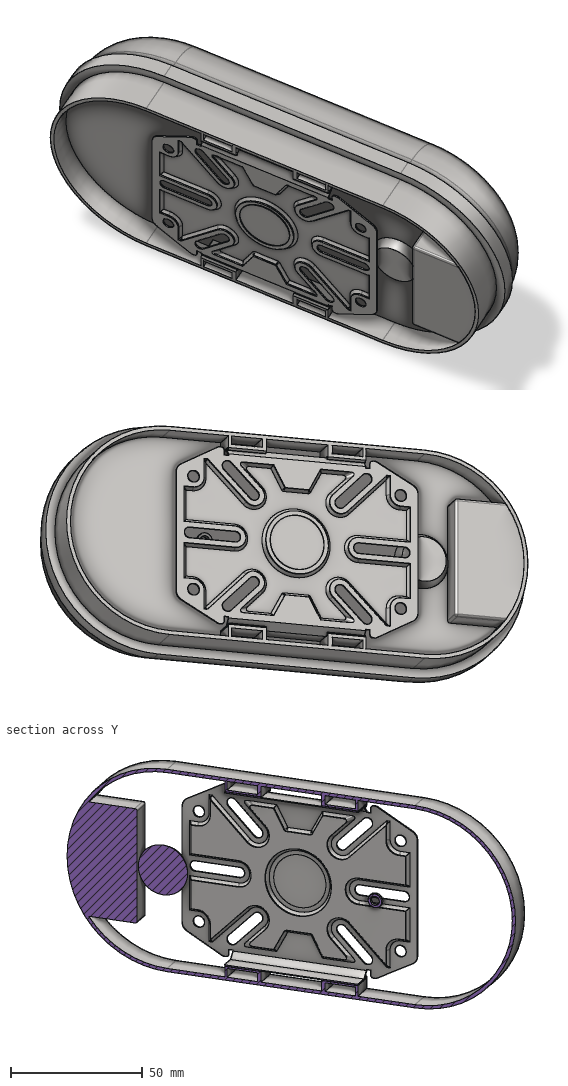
import cadquery as cq
import math

LENGTH = 192.0
HEIGHT = 90.0
DEPTH = 45.5
CAP_SPACING = LENGTH - HEIGHT

FRONT_Y = -DEPTH / 2
BACK_Y = DEPTH / 2

FLANGE_RADIUS = HEIGHT / 2
WALL_RADIUS = FLANGE_RADIUS - 3.6
WALL_THICKNESS = 1.5
CAVITY_RADIUS = WALL_RADIUS - WALL_THICKNESS
FLANGE_FRONT_Y = -8.3
FLANGE_BACK_Y = -2.1
FLOOR_Y = -12.9

COVER_RADIUS = FLANGE_RADIUS - 2.0
SKIRT_TOP_Y = 1.2
CROWN_EDGE_RADIUS = 26.9
CROWN_EDGE_Y = BACK_Y - 1.7

PLATE_FRONT_Y = FRONT_Y
SHEET = 0.5
PLATE_HALF_LENGTH = 48.4
PLATE_SIDE_HALF_HEIGHT = 26.0
EAR_TIP_X = 31.5
EAR_INNER_X = 29.2
EAR_TIP_Z = 35.1
NOTCH_Z = 32.0
EAR_ROUNDING = 1.2
SIDE_CORNER_ROUNDING = 3.8
LEG_HALF_LENGTH = 27.5
LEG_OUTER_Z = 35.5
BEND_SIZE = 2.9

RECESS_DEPTH = 1.5
RECESS_HALF_LENGTH = 45.3
RECESS_HALF_HEIGHT = 30.0
EMBOSS_TAPER = 37.0
TIP_ROUNDING = 1.3
SLOT_RADIUS = 2.1
PAD_RADIUS = 2 * SLOT_RADIUS
SIDE_SLOT_INNER_X = 24.8
SIDE_SLOT_OUTER_X = 43.0
DIAGONAL_SLOT_INNER = 17.3
DIAGONAL_SLOT_OUTER = 27.8
SCREW_HOLE_X = 41.5
SCREW_HOLE_Z = 22.5
SCREW_HOLE_RADIUS = 2.3
EDGE_PAD_TIP_HALF = 4.8
EDGE_PAD_BASE_HALF = 9.5
EDGE_PAD_TIP_Z = 21.3
BEYOND_RECESS = 11.5
KNOCKOUT_PAD_RADIUS = 12.5
KNOCKOUT_RADIUS = 10.8
KNOCKOUT_STEP = 0.4

SIDE_SLOT = ((SIDE_SLOT_INNER_X, 0), (SIDE_SLOT_OUTER_X, 0))
DIAGONAL_SLOT = (
    (DIAGONAL_SLOT_INNER, DIAGONAL_SLOT_INNER),
    (DIAGONAL_SLOT_OUTER, DIAGONAL_SLOT_OUTER),
)

CLIP_INNER_X = 12.3
CLIP_OUTER_X = LEG_HALF_LENGTH
CLIP_FRONT_Y = FRONT_Y
CLIP_HOOK_BACK_Y = -21.5
CLIP_LIP_Z = 34.4
CLIP_CHAMFER = 0.8
CLIP_WINDOW_INNER_X = 14.0
CLIP_WINDOW_OUTER_X = 26.3
CLIP_WINDOW_Z = 36.5

BLOCK_LEFT_X = 63.4
BLOCK_HALF_HEIGHT = 23.5
BLOCK_FRONT_Y = FRONT_Y + 0.2
BLOCK_ROUNDING = 1.0
BOSS_X = 52.8
BOSS_BASE_RADIUS = 10.8
BOSS_TOP_RADIUS = 8.8
BOSS_FRONT_Y = -16.5
POST_X = -34.4
POST_RADIUS = 2.9
POST_HOLE_RADIUS = 1.7
POST_HEIGHT = 2.0


def facing_back(y):
    """Workplane at depth y whose axes are X and -Z and whose normal is +Y."""
    return cq.Workplane("XZ", origin=(0, y, 0)).transformed(rotate=(180, 0, 0))


def oblong(radius, start_y, end_y):
    """Prism with two straight sides and two round ends."""
    return facing_back(start_y).slot2D(CAP_SPACING + 2 * radius, 2 * radius).extrude(end_y - start_y)


def box_between(x0, x1, y0, y1, z0, z1):
    corner = cq.Vector(x0, y0, z0)
    return cq.Workplane(cq.Solid.makeBox(x1 - x0, y1 - y0, z1 - z0, corner))


def four_quadrants(shape):
    """The four mirror copies of a workplane shape about the XY and YZ planes."""
    pair = [shape, shape.mirror("YZ")]
    return pair + [item.mirror("XY") for item in pair]


def clip():
    """Hooked clip on the upper right wall, with a window along the wall."""
    wall_z = CAVITY_RADIUS + WALL_THICKNESS / 2
    profile = [
        (CLIP_FRONT_Y, wall_z),
        (CLIP_FRONT_Y, CLIP_LIP_Z + CLIP_CHAMFER),
        (CLIP_FRONT_Y + CLIP_CHAMFER, CLIP_LIP_Z),
        (CLIP_HOOK_BACK_Y, CLIP_LIP_Z),
        (CLIP_HOOK_BACK_Y, LEG_OUTER_Z),
        (FLOOR_Y, LEG_OUTER_Z),
        (FLOOR_Y, wall_z),
    ]
    body = cq.Workplane("YZ", origin=(CLIP_INNER_X, 0, 0)).polyline(profile).close()
    body = body.extrude(CLIP_OUTER_X - CLIP_INNER_X)
    window = box_between(
        CLIP_WINDOW_INNER_X, CLIP_WINDOW_OUTER_X, CLIP_FRONT_Y, FLOOR_Y, CLIP_WINDOW_Z, CAVITY_RADIUS
    )
    return body.cut(window)


def end_block():
    """Raised block on the floor that runs into the right end wall."""
    block = box_between(
        BLOCK_LEFT_X, LENGTH / 2, BLOCK_FRONT_Y, FLOOR_Y, -BLOCK_HALF_HEIGHT, BLOCK_HALF_HEIGHT
    )
    block = block.edges("(<Y and (not >X)) or (<X and |Y)").fillet(BLOCK_ROUNDING)
    return block.intersect(oblong(WALL_RADIUS - WALL_THICKNESS / 2, FRONT_Y, FLOOR_Y))


def round_boss():
    height = FLOOR_Y - BOSS_FRONT_Y
    base = cq.Vector(BOSS_X, FLOOR_Y, 0)
    return cq.Workplane(
        cq.Solid.makeCone(BOSS_BASE_RADIUS, BOSS_TOP_RADIUS, height, base, cq.Vector(0, -1, 0))
    )


def screw_post():
    ring = cq.Workplane("XZ", origin=(0, FLOOR_Y, 0)).center(POST_X, 0)
    return ring.circle(POST_RADIUS).circle(POST_HOLE_RADIUS).extrude(POST_HEIGHT)


def make_housing():
    body = oblong(WALL_RADIUS, FRONT_Y, FLANGE_BACK_Y)
    body = body.union(oblong(FLANGE_RADIUS, FLANGE_FRONT_Y, FLANGE_BACK_Y))
    body = body.cut(oblong(CAVITY_RADIUS, FRONT_Y, FLOOR_Y))
    for wall_clip in four_quadrants(clip()):
        body = body.union(wall_clip)
    return body.union(end_block()).union(round_boss()).union(screw_post())


def make_cover():
    """Dome with one section swept along the straight sides and turned about each end."""
    half_spacing = CAP_SPACING / 2
    crown_rise = BACK_Y - CROWN_EDGE_Y
    crown_sphere = (CROWN_EDGE_RADIUS**2 + crown_rise**2) / (2 * crown_rise)
    crown_mid_radius = CROWN_EDGE_RADIUS / 2
    crown_mid_y = BACK_Y - crown_sphere + math.sqrt(crown_sphere**2 - crown_mid_radius**2)

    def half_section(plane):
        return (
            plane.moveTo(0, FLANGE_BACK_Y)
            .lineTo(COVER_RADIUS, FLANGE_BACK_Y)
            .lineTo(COVER_RADIUS, SKIRT_TOP_Y)
            .tangentArcPoint((CROWN_EDGE_RADIUS, CROWN_EDGE_Y), relative=False)
            .threePointArc((crown_mid_radius, crown_mid_y), (0, BACK_Y))
            .close()
        )

    end = half_section(cq.Workplane("XY", origin=(half_spacing, 0, 0)))
    end = end.revolve(360, (0, 0, 0), (0, 1, 0))
    section_plane = cq.Plane(origin=(half_spacing, 0, 0), xDir=(0, 0, 1), normal=(-1, 0, 0))
    upper = half_section(cq.Workplane(section_plane)).extrude(CAP_SPACING)
    return upper.union(upper.mirror("XY")).union(end).union(end.mirror("YZ"))


def plate_blank():
    """Flat sheet with four corner ears, notched beside the legs."""
    bend_z = LEG_OUTER_Z - BEND_SIZE
    right_upper = [
        (0, bend_z),
        (LEG_HALF_LENGTH, bend_z),
        (LEG_HALF_LENGTH, NOTCH_Z),
        (EAR_INNER_X, NOTCH_Z),
        (EAR_INNER_X, EAR_TIP_Z),
        (EAR_TIP_X, EAR_TIP_Z),
        (PLATE_HALF_LENGTH, PLATE_SIDE_HALF_HEIGHT),
        (PLATE_HALF_LENGTH, 0),
        (0, 0),
    ]
    quarter = cq.Workplane("XZ", origin=(0, PLATE_FRONT_Y + SHEET, 0)).polyline(right_upper).close()
    quarter = quarter.extrude(SHEET)
    rounded_corners = [
        (EAR_INNER_X, EAR_TIP_Z, EAR_ROUNDING),
        (EAR_TIP_X, EAR_TIP_Z, EAR_ROUNDING),
        (PLATE_HALF_LENGTH, PLATE_SIDE_HALF_HEIGHT, SIDE_CORNER_ROUNDING),
    ]
    for x, z, rounding in rounded_corners:
        corner = cq.selectors.NearestToPointSelector((x, PLATE_FRONT_Y + SHEET / 2, z))
        quarter = quarter.edges("|Y").edges(corner).fillet(rounding)
    blank = quarter
    for copy in four_quadrants(quarter)[1:]:
        blank = blank.union(copy)
    return blank.clean()


def plate_leg():
    """Upper leg, bent back from the sheet and standing on the floor."""
    bend_z = LEG_OUTER_Z - BEND_SIZE
    bend_back_y = PLATE_FRONT_Y + BEND_SIZE
    inner_shift = SHEET * math.tan(math.pi / 8)
    profile = [
        (PLATE_FRONT_Y, bend_z),
        (bend_back_y, LEG_OUTER_Z),
        (FLOOR_Y, LEG_OUTER_Z),
        (FLOOR_Y, LEG_OUTER_Z - SHEET),
        (bend_back_y + inner_shift, LEG_OUTER_Z - SHEET),
        (PLATE_FRONT_Y + SHEET, bend_z - inner_shift),
        (PLATE_FRONT_Y, bend_z - inner_shift),
    ]
    leg = cq.Workplane("YZ", origin=(-LEG_HALF_LENGTH, 0, 0)).polyline(profile).close()
    return leg.extrude(2 * LEG_HALF_LENGTH)


def slot_prism(start, end, radius, depth, taper=0.0):
    """Round-ended prism from the plate front, between two (x, z) centres."""
    dx = end[0] - start[0]
    dz = end[1] - start[1]
    middle = ((start[0] + end[0]) / 2, -(start[1] + end[1]) / 2)
    angle = -math.degrees(math.atan2(dz, dx))
    outline = facing_back(PLATE_FRONT_Y).center(*middle)
    return outline.slot2D(math.hypot(dx, dz) + 2 * radius, 2 * radius, angle).extrude(depth, taper=taper)


def emboss_pads():
    """Raised pads that widen towards the recess floor."""

    def widen(outline):
        return outline.extrude(RECESS_DEPTH, taper=-EMBOSS_TAPER)

    side_end = (RECESS_HALF_LENGTH + BEYOND_RECESS, 0)
    diagonal_end = (DIAGONAL_SLOT_OUTER + BEYOND_RECESS, DIAGONAL_SLOT_OUTER + BEYOND_RECESS)
    side = slot_prism(SIDE_SLOT[0], side_end, PAD_RADIUS, RECESS_DEPTH, -EMBOSS_TAPER)
    diagonal = slot_prism(DIAGONAL_SLOT[0], diagonal_end, PAD_RADIUS, RECESS_DEPTH, -EMBOSS_TAPER)

    corner_size = PAD_RADIUS + BEYOND_RECESS
    corner_x = SCREW_HOLE_X - PAD_RADIUS + corner_size / 2
    corner_z = SCREW_HOLE_Z - PAD_RADIUS + corner_size / 2
    corner_sketch = cq.Sketch().rect(corner_size, corner_size).vertices().fillet(PAD_RADIUS)
    corner = widen(facing_back(PLATE_FRONT_Y).center(corner_x, -corner_z).placeSketch(corner_sketch))

    edge_slope = (EDGE_PAD_BASE_HALF - EDGE_PAD_TIP_HALF) / (RECESS_HALF_HEIGHT - EDGE_PAD_TIP_Z)
    edge_outer_half = EDGE_PAD_BASE_HALF + edge_slope * BEYOND_RECESS
    edge_outer_z = RECESS_HALF_HEIGHT + BEYOND_RECESS
    edge = widen(
        facing_back(PLATE_FRONT_Y)
        .polyline([
            (-EDGE_PAD_TIP_HALF, -EDGE_PAD_TIP_Z),
            (EDGE_PAD_TIP_HALF, -EDGE_PAD_TIP_Z),
            (edge_outer_half, -edge_outer_z),
            (-edge_outer_half, -edge_outer_z),
        ])
        .close()
    )
    centre = widen(facing_back(PLATE_FRONT_Y).circle(KNOCKOUT_PAD_RADIUS))

    pads = [centre, side, side.mirror("YZ"), edge, edge.mirror("XY")]
    return pads + four_quadrants(diagonal) + four_quadrants(corner)


def emboss_recess():
    """Shallow recess with sloped walls, as a solid to remove."""
    recess = facing_back(PLATE_FRONT_Y).rect(2 * RECESS_HALF_LENGTH, 2 * RECESS_HALF_HEIGHT)
    recess = recess.extrude(RECESS_DEPTH, taper=EMBOSS_TAPER)
    for pad in emboss_pads():
        recess = recess.cut(pad)
    tip_x = RECESS_HALF_HEIGHT - math.sqrt(2) * PAD_RADIUS
    for x in (-tip_x, tip_x):
        for z in (-RECESS_HALF_HEIGHT, RECESS_HALF_HEIGHT):
            tip = cq.selectors.NearestToPointSelector((x, PLATE_FRONT_Y + RECESS_DEPTH / 2, z))
            recess = recess.edges("not #Y").edges(tip).fillet(TIP_ROUNDING)
    return recess


def plate_openings():
    side = slot_prism(*SIDE_SLOT, SLOT_RADIUS, SHEET)
    diagonal = slot_prism(*DIAGONAL_SLOT, SLOT_RADIUS, SHEET)
    screw_hole = facing_back(PLATE_FRONT_Y).center(SCREW_HOLE_X, -SCREW_HOLE_Z)
    screw_hole = screw_hole.circle(SCREW_HOLE_RADIUS).extrude(SHEET)
    return [side, side.mirror("YZ")] + four_quadrants(diagonal) + four_quadrants(screw_hole)


def make_mounting_plate():
    leg = plate_leg()
    plate = plate_blank().union(leg).union(leg.mirror("XY"))
    recess = emboss_recess()
    plate = plate.union(recess.translate((0, SHEET, 0))).cut(recess)
    plate = plate.cut(facing_back(PLATE_FRONT_Y).circle(KNOCKOUT_RADIUS).extrude(KNOCKOUT_STEP))
    for opening in plate_openings():
        plate = plate.cut(opening)
    return plate


housing = make_housing()
cover = make_cover()
mounting_plate = make_mounting_plate()

result = cq.Compound.makeCompound([housing.val(), cover.val(), mounting_plate.val()])